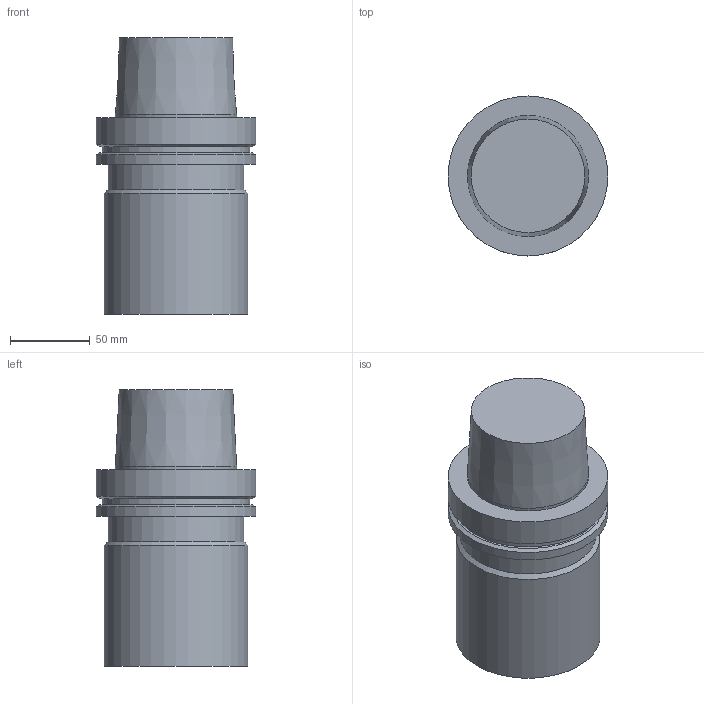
import math

import cadquery as cq


shank_height = 50.0
shank_base_diameter = 75.8
shank_collar_height = 2.0
shank_taper = 1 / 10

flange_diameter = 100.0
flange_thickness = 29.0
groove_diameter = 92.0
groove_centre_depth = 20.0
groove_mouth_width = 6.5
groove_floor_width = 3.75
groove_cone_angle = 30.0

neck_diameter = 85.0
body_diameter = 90.0
shoulder_start_depth = 45.0
body_bottom_depth = 123.0

shank_base_radius = shank_base_diameter / 2
shank_top_radius = shank_base_radius - shank_taper * (shank_height - shank_collar_height) / 2
flange_radius = flange_diameter / 2
groove_radius = groove_diameter / 2
neck_radius = neck_diameter / 2
body_radius = body_diameter / 2

groove_cone_height = (groove_mouth_width - groove_floor_width) / 2
groove_cone_radius = flange_radius - groove_cone_height / math.tan(math.radians(groove_cone_angle))

shoulder_end_depth = shoulder_start_depth + body_radius - neck_radius


def make_shank():
    """Straight collar on the flange face, then the taper up to a flat end."""
    profile = (
        cq.Workplane("YZ")
        .moveTo(0, 0)
        .lineTo(shank_base_radius, 0)
        .lineTo(shank_base_radius, shank_collar_height)
        .lineTo(shank_top_radius, shank_height)
        .lineTo(0, shank_height)
        .close()
    )
    return profile.revolve(360, (0, 0, 0), (0, 1, 0))


def make_flange():
    """Flange disc with the gripper groove around its rim."""
    mouth_top = -groove_centre_depth + groove_mouth_width / 2
    mouth_bottom = -groove_centre_depth - groove_mouth_width / 2
    floor_top = -groove_centre_depth + groove_floor_width / 2
    floor_bottom = -groove_centre_depth - groove_floor_width / 2
    profile = (
        cq.Workplane("YZ")
        .moveTo(0, 0)
        .lineTo(flange_radius, 0)
        .lineTo(flange_radius, mouth_top)
        .lineTo(groove_cone_radius, floor_top)
        .lineTo(groove_radius, floor_top)
        .lineTo(groove_radius, floor_bottom)
        .lineTo(groove_cone_radius, floor_bottom)
        .lineTo(flange_radius, mouth_bottom)
        .lineTo(flange_radius, -flange_thickness)
        .lineTo(0, -flange_thickness)
        .close()
    )
    return profile.revolve(360, (0, 0, 0), (0, 1, 0))


def make_body():
    """Neck below the flange, widening over the shoulder to the body."""
    profile = (
        cq.Workplane("YZ")
        .moveTo(0, -flange_thickness)
        .lineTo(neck_radius, -flange_thickness)
        .lineTo(neck_radius, -shoulder_start_depth)
        .lineTo(body_radius, -shoulder_end_depth)
        .lineTo(body_radius, -body_bottom_depth)
        .lineTo(0, -body_bottom_depth)
        .close()
    )
    return profile.revolve(360, (0, 0, 0), (0, 1, 0))


result = make_flange().union(make_shank()).union(make_body())